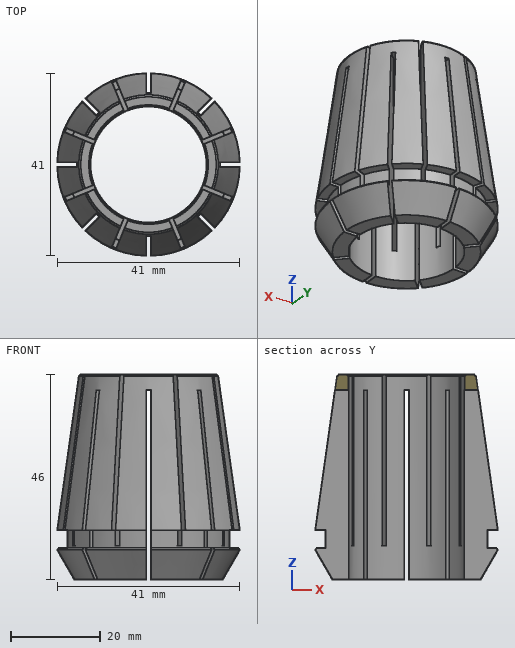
import cadquery as cq
import math

LENGTH = 46.0
MAX_RADIUS = 20.5
BORE_RADIUS = 13.0

TAPER_START_Z = 11.1
TAPER_ANGLE = 8.0
TOP_OUTER_CHAMFER = 0.4
TOP_BORE_CHAMFER = 0.4

GROOVE_RADIUS = 18.2
GROOVE_BOTTOM_Z = 7.1

NOSE_ANGLE = 30.0
NOSE_EDGE_CHAMFER = 0.4

SLOTS_PER_END = 8
SLOT_WIDTH = 1.0
TOP_SLOT_FLOOR_Z = 7.6
BOTTOM_SLOT_ROOF_Z = 42.5
SLOT_PITCH = 360.0 / SLOTS_PER_END
OVERCUT = 1.0


def make_body():
    """Revolve the half section: nose, groove, taper and bore."""
    taper_top_radius = MAX_RADIUS - (LENGTH - TAPER_START_Z) * math.tan(math.radians(TAPER_ANGLE))
    nose_top_z = GROOVE_BOTTOM_Z - NOSE_EDGE_CHAMFER
    nose_bottom_radius = MAX_RADIUS - nose_top_z * math.tan(math.radians(NOSE_ANGLE))
    taper_chamfer_z = LENGTH - TOP_OUTER_CHAMFER
    taper_chamfer_radius = taper_top_radius + TOP_OUTER_CHAMFER * math.tan(math.radians(TAPER_ANGLE))
    section = (
        cq.Workplane("XZ")
        .moveTo(BORE_RADIUS, 0)
        .lineTo(nose_bottom_radius, 0)
        .lineTo(MAX_RADIUS, nose_top_z)
        .lineTo(MAX_RADIUS - NOSE_EDGE_CHAMFER, GROOVE_BOTTOM_Z)
        .lineTo(GROOVE_RADIUS, GROOVE_BOTTOM_Z)
        .lineTo(GROOVE_RADIUS, TAPER_START_Z)
        .lineTo(MAX_RADIUS, TAPER_START_Z)
        .lineTo(taper_chamfer_radius, taper_chamfer_z)
        .lineTo(taper_top_radius - TOP_OUTER_CHAMFER, LENGTH)
        .lineTo(BORE_RADIUS + TOP_BORE_CHAMFER, LENGTH)
        .lineTo(BORE_RADIUS, LENGTH - TOP_BORE_CHAMFER)
        .close()
    )
    return section.revolve(360, (0, 0, 0), (0, 1, 0))


def make_slots(bottom_z, top_z, first_angle):
    """Ring of straight radial slot tools between two heights."""
    reach = MAX_RADIUS + OVERCUT
    tool = cq.Workplane("XY").box(reach, SLOT_WIDTH, top_z - bottom_z, centered=(False, True, False))
    tool = tool.translate((0, 0, bottom_z))
    slots = cq.Workplane("XY")
    for index in range(SLOTS_PER_END):
        angle = first_angle + index * SLOT_PITCH
        slots = slots.add(tool.rotate((0, 0, 0), (0, 0, 1), angle))
    return slots.combine()


bottom_slots = make_slots(-OVERCUT, BOTTOM_SLOT_ROOF_Z, 0)
top_slots = make_slots(TOP_SLOT_FLOOR_Z, LENGTH + OVERCUT, SLOT_PITCH / 2)

result = make_body().cut(bottom_slots).cut(top_slots)